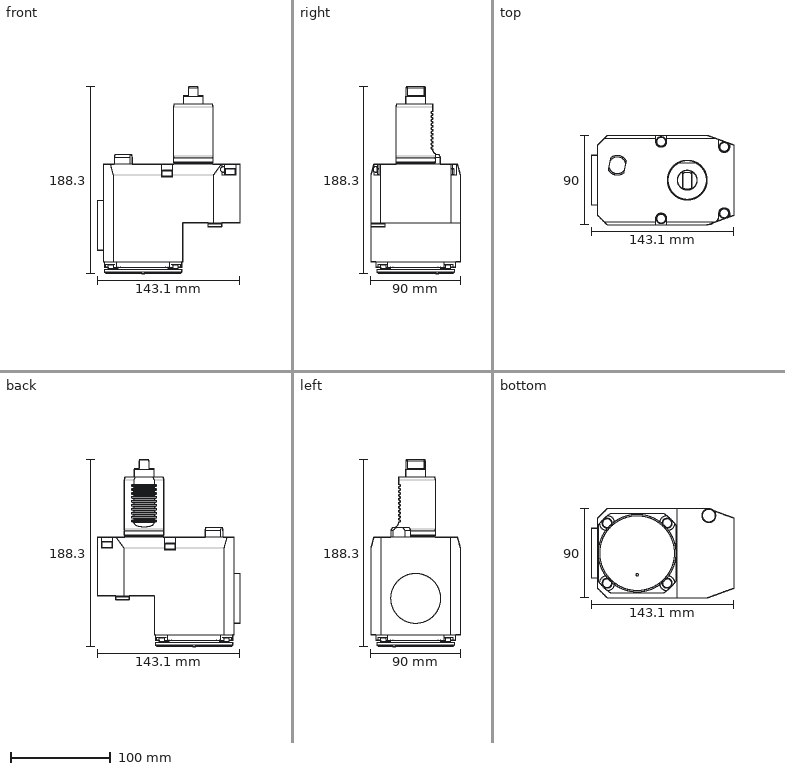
import cadquery as cq
import math


body_left = -90.2
body_right = 46.9
body_half_width = 45.0
body_bottom = -98.0
step_x = -10.4
step_z = -59.1
corner_cut = 10.0
taper_start = 20.1
taper_angle = 20
bevel_height = 11.1
bevel_angle = 15

cover_diameter = 50.0
cover_thickness = 6.0
cover_z = -61.5

shank_diameter = 40.0
neck_diameter = 39.0
groove_diameter = 39.5
shank_top = 60.2
shank_chamfer_height = 3.0
shank_chamfer = 0.8
neck_height = 1.0
neck_taper_top = 2.3
groove_bottom = 5.8
groove_top = 6.8
groove_runout = 8.0
collar_diameter = 20.0
tang_diameter = 19.5
collar_top = 67.8
shoulder_top = 68.9
tang_top = 78.0
tang_thickness = 10.0
tang_chamfer_height = 1.9
tang_chamfer = 0.8

rack_flat_y = 17.1
rack_root_y = 15.6
rack_end_z = 15.0
runout_radius = 5.6
gap_count = 10
gap_pitch = 4.0
gap_mouth = 2.6
gap_floor = 1.3
first_gap_z = 16.0

pin_orbit = 71.7
pin_angle = 168
pin_diameter = 20.0
pin_across_flats = 15.8
pin_height = 9.6
pin_chamfer = 1.5
pin_chamfer_height = 3.0

screw_diameter = 10.0
screw_height = 6.5
screw_chamfer = 0.5
slot_width = 11.1
middle_screw = (-26.2, 38.5)
middle_slot_depth = 12.8
end_screw = (37.0, 33.3)
end_slot_depth = 11.0

relief_tip_x = 28.6
relief_root = (31.6, -38.4)
cross_hole_diameter = 5.6
cross_hole_x = 30.1
cross_hole_z = -5.5
cross_hole_end_y = -38.8

spindle_x = -50.3
plate_length = 77.8
plate_width = 80.0
plate_round_diameter = 96.0
plate_bottom = -103.5
spindle_neck_diameter = 70.0
flange_diameter = 78.0
flange_top = -105.6
flange_bottom = -109.8
flange_chamfer = 1.5
nub_diameter = 2.5
nub_height = 0.5
nub_y = 21.6
plate_screw_offset = 30.1
plate_notch_diameter = 15.0
plate_notch_top = -101.0
plate_screw_bottom = -105.5

plug_x = 21.6
plug_y = -37.7
plug_neck_diameter = 13.4
plug_neck_height = 1.0
plug_diameter = 14.0
plug_height = 4.1
plug_chamfer = 0.5

taper_slope = math.tan(math.radians(taper_angle))
bevel_width = bevel_height * math.tan(math.radians(bevel_angle))


def cylinder(x, y, bottom, top, diameter):
    """Upright cylinder between two heights."""
    return cq.Workplane("XY", origin=(x, y, bottom)).circle(diameter / 2).extrude(top - bottom)


def make_screw_head(x, y, bottom, top):
    """Screw head with both rims chamfered."""
    return cylinder(x, y, bottom, top, screw_diameter).edges("%CIRCLE").chamfer(screw_chamfer)


def make_housing():
    end_half_width = body_half_width - (body_right - taper_start) * taper_slope
    front_half = [
        (body_left, corner_cut - body_half_width),
        (body_left + corner_cut, -body_half_width),
        (taper_start, -body_half_width),
        (body_right, -end_half_width),
    ]
    back_half = [(x, -y) for x, y in reversed(front_half)]
    plan = cq.Workplane("XY", origin=(0, 0, body_bottom))
    housing = plan.polyline(front_half + back_half).close().extrude(-body_bottom)
    section = [
        (-body_half_width, body_bottom),
        (-body_half_width, -bevel_height),
        (bevel_width - body_half_width, 0),
        (body_half_width - bevel_width, 0),
        (body_half_width, -bevel_height),
        (body_half_width, body_bottom),
    ]
    bevelled = cq.Workplane("YZ", origin=(body_left, 0, 0)).polyline(section).close()
    housing = housing.intersect(bevelled.extrude(body_right - body_left))
    overhang = cq.Workplane("XY").box(
        body_right - step_x, 2 * body_half_width, step_z - body_bottom, centered=(False, True, False)
    )
    return housing.cut(overhang.translate((step_x, 0, body_bottom)))


def make_cover():
    face = cq.Workplane("YZ", origin=(body_left - cover_thickness, 0, cover_z))
    return face.circle(cover_diameter / 2).extrude(cover_thickness)


def make_shank():
    radius = shank_diameter / 2
    neck_radius = neck_diameter / 2
    groove_radius = groove_diameter / 2
    profile = [
        (0, 0),
        (neck_radius, 0),
        (neck_radius, neck_height),
        (radius, neck_taper_top),
        (radius, groove_bottom),
        (groove_radius, groove_bottom),
        (groove_radius, groove_top),
        (radius, groove_runout),
        (radius, shank_top - shank_chamfer_height),
        (radius - shank_chamfer, shank_top),
        (0, shank_top),
    ]
    shank = cq.Workplane("XZ").polyline(profile).close().revolve(360, (0, 0, 0), (0, 1, 0))
    return shank.cut(make_rack_cut())


def make_rack_cut():
    """Flat along the shank with an arc runout at its foot and a row of tooth gaps."""
    clear_y = rack_flat_y + runout_radius
    arc_45 = runout_radius * math.sqrt(0.5)
    flat = (
        cq.Workplane("YZ")
        .moveTo(rack_flat_y, shank_top)
        .lineTo(rack_flat_y, rack_end_z)
        .threePointArc(
            (clear_y - arc_45, rack_end_z - arc_45),
            (clear_y, rack_end_z - runout_radius),
        )
        .lineTo(clear_y, shank_top)
        .close()
        .extrude(shank_diameter / 2, both=True)
    )
    for index in range(gap_count):
        z = first_gap_z + index * gap_pitch
        gap = [
            (rack_flat_y, z - gap_mouth / 2),
            (rack_root_y, z - gap_floor / 2),
            (rack_root_y, z + gap_floor / 2),
            (rack_flat_y, z + gap_mouth / 2),
        ]
        flat = flat.union(
            cq.Workplane("YZ").polyline(gap).close().extrude(shank_diameter / 2, both=True)
        )
    return flat


def make_tang():
    collar = cylinder(0, 0, shank_top, collar_top, collar_diameter)
    shoulder = cylinder(0, 0, collar_top, shoulder_top, tang_diameter)
    blank = cylinder(0, 0, shoulder_top, tang_top, tang_diameter)
    flats = cq.Workplane("XY").box(tang_thickness, tang_diameter, 2 * tang_top)
    tang = blank.intersect(flats).faces(">Z").chamfer(tang_chamfer, tang_chamfer_height)
    return collar.union(shoulder).union(tang)


def make_locating_pin():
    """Round pin with two flats that face along the line to the shank axis."""
    radius = pin_diameter / 2
    profile = [
        (0, 0),
        (radius, 0),
        (radius, pin_height - pin_chamfer_height),
        (radius - pin_chamfer, pin_height),
        (0, pin_height),
    ]
    pin = cq.Workplane("XZ").polyline(profile).close().revolve(360, (0, 0, 0), (0, 1, 0))
    flats = cq.Workplane("XY").box(pin_across_flats, pin_diameter, 2 * pin_height)
    pin = pin.intersect(flats).translate((pin_orbit, 0, 0))
    return pin.rotate((0, 0, 0), (0, 0, 1), pin_angle)


def make_screw_slot(x, y, depth):
    """Round-ended slot that runs from the screw out through the nearer side."""
    outward = math.copysign(body_half_width, y)
    slot = cylinder(x, y, -depth, 0, slot_width)
    channel = cq.Workplane("XY").box(slot_width, body_half_width, depth)
    return slot.union(channel.translate((x, y + outward / 2, -depth / 2)))


def make_relief():
    """Triangular pocket beside the end slot, with a short hole running in from the side."""
    tip_y = (relief_tip_x - taper_start) * taper_slope - body_half_width
    root_x, root_y = relief_root
    outline = [(relief_tip_x, tip_y), relief_root, (root_x, tip_y)]
    pocket = cq.Workplane("XY").polyline(outline).close().extrude(-end_slot_depth)
    mouth = cq.Workplane("XZ", origin=(cross_hole_x, cross_hole_end_y, cross_hole_z))
    hole = mouth.circle(cross_hole_diameter / 2).extrude(body_half_width + cross_hole_end_y)
    return pocket.union(hole)


def make_spindle_plate():
    """Plate with rounded corners, each corner notched around a screw head."""
    plate = cylinder(spindle_x, 0, plate_bottom, body_bottom, plate_round_diameter)
    square = cq.Workplane("XY").box(plate_length, plate_width, -2 * plate_bottom)
    plate = plate.intersect(square.translate((spindle_x, 0, 0)))
    for side_x in (-1, 1):
        for side_y in (-1, 1):
            x = spindle_x + side_x * plate_screw_offset
            y = side_y * plate_screw_offset
            notch = cylinder(x, y, plate_bottom, plate_notch_top, plate_notch_diameter)
            head = make_screw_head(x, y, plate_screw_bottom, plate_notch_top)
            plate = plate.cut(notch).union(head)
    return plate


def make_flange():
    neck = cylinder(spindle_x, 0, flange_top, plate_bottom, spindle_neck_diameter)
    flange = cylinder(spindle_x, 0, flange_bottom, flange_top, flange_diameter)
    flange = flange.faces("<Z").chamfer(flange_chamfer)
    nub = cylinder(spindle_x, nub_y, flange_bottom - nub_height, flange_bottom, nub_diameter)
    return neck.union(flange).union(nub)


def make_plug():
    neck_bottom = step_z - plug_neck_height
    neck = cylinder(plug_x, plug_y, neck_bottom, step_z, plug_neck_diameter)
    head = cylinder(plug_x, plug_y, step_z - plug_height, neck_bottom, plug_diameter)
    return neck.union(head.faces("<Z").chamfer(plug_chamfer))


result = make_housing().cut(make_relief())
for (screw_x, screw_y), slot_depth in (
    (middle_screw, middle_slot_depth),
    (end_screw, end_slot_depth),
):
    for y in (-screw_y, screw_y):
        screw = make_screw_head(screw_x, y, -slot_depth, screw_height - slot_depth)
        result = result.cut(make_screw_slot(screw_x, y, slot_depth)).union(screw)

for attachment in (
    make_cover(),
    make_shank(),
    make_tang(),
    make_locating_pin(),
    make_spindle_plate(),
    make_flange(),
    make_plug(),
):
    result = result.union(attachment)